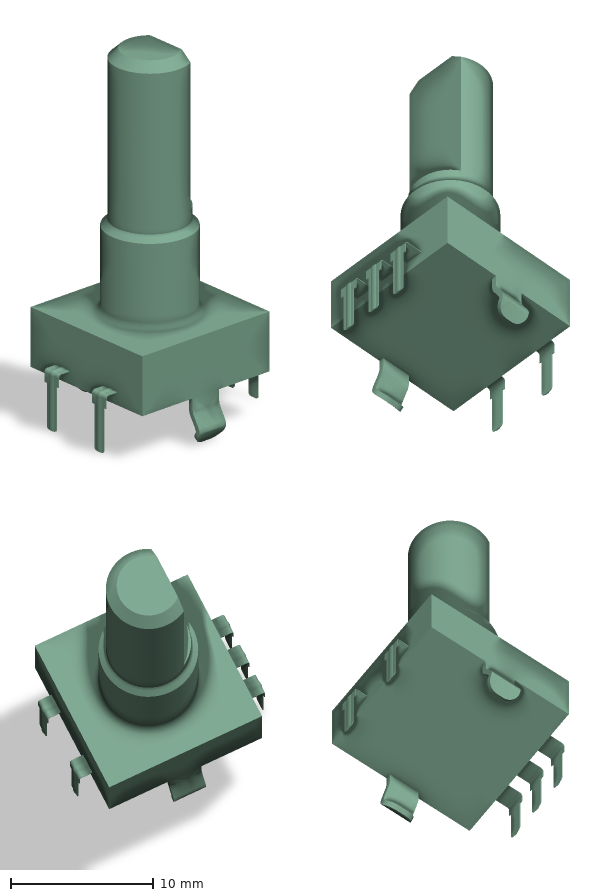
import cadquery as cq
import math

housing_width = 11.8
housing_depth = 12.0
housing_height = 4.6

bushing_diameter = 7.0
bushing_height = 7.0
bushing_foot_radius = 0.48

shaft_diameter = 6.0
shaft_length = 13.0
shaft_chamfer_width = 0.75
shaft_chamfer_height = 0.7
shaft_flat_offset = 1.5
shaft_round_length = 1.0

clip_width = 2.5
clip_thickness = 0.4
clip_span = 13.25
clip_knee_depth = 0.82
clip_upper_angle = 31
clip_lower_angle = 38
clip_knee_radius = 0.85
clip_elbow_radius = 0.6
clip_end_length = 0.95
clip_corner_radius = 0.98

pin_spacing = 2.5
pin_root_width = 1.5
pin_leg_width = 1.0
pin_thickness = 0.05
pin_bend_radius = 0.25
pin_top = 1.0
pin_tip_depth = 3.5
rear_pin_reach = 7.6
front_pin_reach = 7.1
rib_width = 0.5
rib_height = 0.05

bushing_top = housing_height + bushing_height
bushing_chamfer = (bushing_diameter - shaft_diameter) / 2


def clip_face_points(offset):
    """Points (x, z) along a clip face that lies inward of the outer face by offset."""
    upper = math.radians(clip_upper_angle)
    lower = math.radians(clip_lower_angle)
    knee_radius = clip_knee_radius + offset
    elbow_radius = clip_elbow_radius - offset

    knee_x = housing_width / 2 + clip_knee_radius
    elbow_x = clip_span / 2 - clip_elbow_radius
    centre_gap = knee_x - elbow_x
    radius_sum = clip_knee_radius + clip_elbow_radius
    centre_drop = (radius_sum - centre_gap * math.cos(upper)) / math.sin(upper)
    elbow_z = -clip_knee_depth - centre_drop

    def knee_point(angle):
        return (
            knee_x - knee_radius * math.cos(angle),
            -clip_knee_depth - knee_radius * math.sin(angle),
        )

    def elbow_point(angle):
        return (
            elbow_x + elbow_radius * math.cos(angle),
            elbow_z - elbow_radius * math.sin(angle),
        )

    elbow_end = elbow_point(lower)
    tip = (
        elbow_end[0] - clip_end_length * math.sin(lower),
        elbow_end[1] - clip_end_length * math.cos(lower),
    )
    return [
        (housing_width / 2 - offset, 0),
        knee_point(0),
        knee_point(upper / 2),
        knee_point(upper),
        elbow_point(-upper),
        elbow_point(0),
        elbow_end,
        tip,
    ]


def make_clip():
    """Strip clip under the +X edge: straight down, outward at the knee, inward at the elbow."""
    lower = math.radians(clip_lower_angle)
    down = (0, -1)
    inward = (-math.sin(lower), -math.cos(lower))
    outer_points = clip_face_points(0)
    inner_points = clip_face_points(clip_thickness)

    strip = (
        cq.Workplane("XZ")
        .moveTo(*outer_points[0])
        .spline(outer_points[1:], tangents=[down, inward], includeCurrent=True)
        .lineTo(*inner_points[-1])
        .spline(
            inner_points[-2::-1],
            tangents=[(-inward[0], -inward[1]), (0, 1)],
            includeCurrent=True,
        )
        .close()
        .extrude(clip_width)
        .translate((0, clip_width / 2, 0))
    )

    tip_x = (outer_points[-1][0] + inner_points[-1][0]) / 2
    tip_z = (outer_points[-1][1] + inner_points[-1][1]) / 2
    for side in (1, -1):
        corner = cq.selectors.NearestToPointSelector((tip_x, side * clip_width / 2, tip_z))
        strip = strip.edges(corner).fillet(clip_corner_radius)
    return strip


def make_housing():
    """Block, bushing and both clips in one solid."""
    block = (
        cq.Workplane("XY")
        .rect(housing_width, housing_depth)
        .extrude(housing_height)
    )

    radius = bushing_diameter / 2
    foot_z = housing_height + bushing_foot_radius
    bushing = (
        cq.Workplane("XZ")
        .moveTo(0, housing_height)
        .lineTo(radius + bushing_foot_radius, housing_height)
        .radiusArc((radius, foot_z), bushing_foot_radius)
        .lineTo(radius, bushing_top - bushing_chamfer)
        .lineTo(radius - bushing_chamfer, bushing_top)
        .lineTo(0, bushing_top)
        .close()
        .revolve(360, (0, 0, 0), (0, 1, 0))
    )

    clip = make_clip()
    return block.union(bushing).union(clip).union(clip.mirror("YZ"))


def make_shaft():
    """Round shaft with a chamfered tip and a flat cut down to a short round stretch."""
    shaft = (
        cq.Workplane("XY", origin=(0, 0, bushing_top))
        .circle(shaft_diameter / 2)
        .extrude(shaft_length)
        .faces(">Z")
        .chamfer(shaft_chamfer_height, shaft_chamfer_width)
    )
    flat_cut = (
        cq.Workplane("XY", origin=(0, shaft_flat_offset, bushing_top + shaft_round_length))
        .rect(shaft_diameter, shaft_diameter)
        .extrude(shaft_length)
        .translate((0, shaft_diameter / 2, 0))
    )
    return shaft.cut(flat_cut)


def make_pin(reach):
    """Pin leaving the +Y wall at x = 0 and bending down; reach is its outermost y."""
    wall_y = housing_depth / 2
    face_y = reach - rib_height
    bend_y = face_y - pin_bend_radius
    bend_z = pin_top - pin_bend_radius
    inner_radius = pin_bend_radius - pin_thickness
    leg_inner_y = face_y - pin_thickness

    strip = (
        cq.Workplane("YZ")
        .moveTo(wall_y, pin_top)
        .lineTo(bend_y, pin_top)
        .radiusArc((face_y, bend_z), pin_bend_radius)
        .lineTo(face_y, 0)
        .lineTo(leg_inner_y, 0)
        .lineTo(leg_inner_y, bend_z)
        .radiusArc((bend_y, pin_top - pin_thickness), -inner_radius)
        .lineTo(wall_y, pin_top - pin_thickness)
        .close()
        .extrude(pin_root_width)
        .translate((-pin_root_width / 2, 0, 0))
    )
    leg = (
        cq.Workplane("XY")
        .box(pin_leg_width, pin_thickness, pin_tip_depth, centered=(True, False, False))
        .translate((0, leg_inner_y, -pin_tip_depth))
        .edges("|Y and <Z")
        .fillet((pin_leg_width - rib_width) / 2)
    )

    rib_path = (
        cq.Workplane("YZ")
        .moveTo(wall_y, pin_top)
        .lineTo(bend_y, pin_top)
        .radiusArc((face_y, bend_z), pin_bend_radius)
        .lineTo(face_y, -pin_tip_depth)
    )
    rib = (
        cq.Workplane("XZ", origin=(0, wall_y, 0))
        .moveTo(-rib_width / 2, pin_top)
        .threePointArc((0, pin_top + rib_height), (rib_width / 2, pin_top))
        .close()
        .sweep(rib_path)
    )
    return strip.union(leg).union(rib)


housing = make_housing()
shaft = make_shaft()

rear_pin = make_pin(rear_pin_reach)
rear_pins = [rear_pin.translate((i * pin_spacing, 0, 0)) for i in (-1, 0, 1)]

front_pin = make_pin(front_pin_reach).rotate((0, 0, 0), (0, 0, 1), 180)
front_pins = [front_pin.translate((i * pin_spacing, 0, 0)) for i in (-1, 1)]

result = cq.Compound.makeCompound(
    [housing.val(), shaft.val(), *[pin.val() for pin in rear_pins + front_pins]]
)